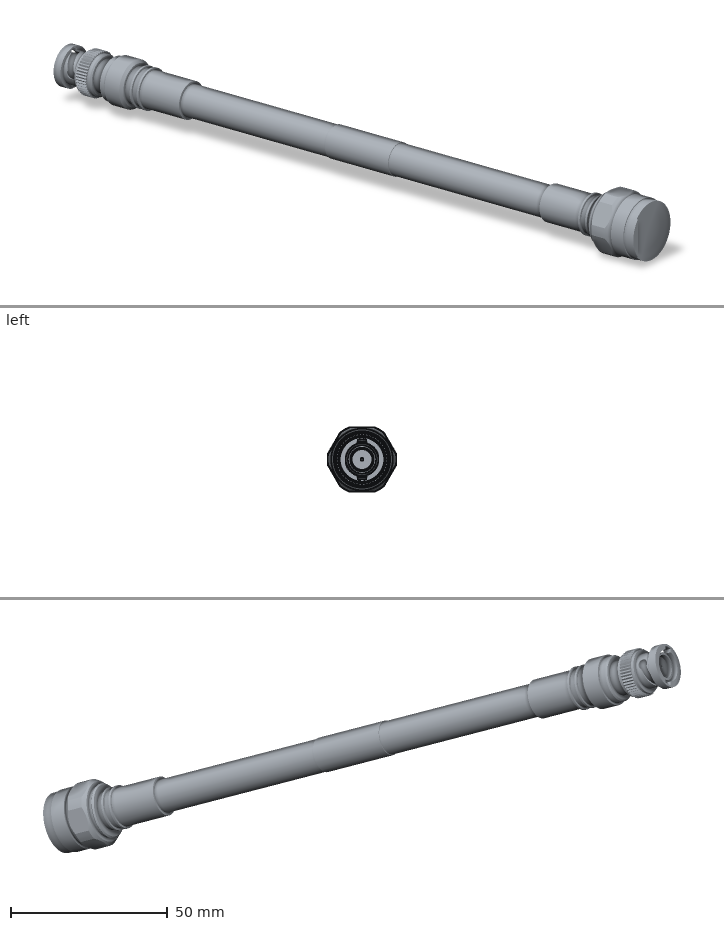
import cadquery as cq
import math

overall_length = 236.5

cable_radius = 5.5
label_radius = 5.7
shrink_radius = 6.5
left_shrink_start = 34.3
left_shrink_end = 50.1
label_start = 108.5
label_end = 134.0
right_shrink_start = 195.8
right_shrink_end = 211.5

ring_width = 0.7
ring_pitch = 2.8
ring_radius = 7.0

barrel_radius = 5.7
flange_radius = 7.0
front_flange_end = 2.8
grip_start = 8.5
grip_end = 15.1
knurl_start = 9.5
knurl_end = 13.5
knurl_radius = 7.8
knurl_depth = 0.5
tooth_count = 48
edge_chamfer = 0.5
collar_start = 18.7
collar_radius = 7.5
body_start = 21.5
body_radius = 8.3
body_end = 28.4
body_chamfer = 1.0

bore_radius = 5.2
bore_depth = 14.2
contact_outer_radius = 4.5
contact_inner_radius = 3.8
contact_setback = 1.2
insulator_radius = 3.3
insulator_setback = 2.4
pin_hole_radius = 0.5
pin_hole_depth = 4.7
entry_width = 2.8
entry_radius = 6.5
slot_width = 2.4
detent_diameter = 3.3
slot_start_x = 3.8
slot_end_x = 6.0
slot_turn = 90
slot_steps = 18

right_ring_start = 212.0
stop_start = 217.3
stop_radius = 9.0
stop_chamfer = 0.5
hex_start = 219.2
hex_cone_start = 225.5
hex_flats = 20.5
hex_corners = 22.0
hex_corner_radius = hex_corners / 2
hex_front_chamfer = 1.2
groove_radius = 9.5
nut_radius = hex_flats / 2
nut_start = 227.7
rim_start = 232.7
rim_radius = 10.0
rim_lip = 0.5
lip_inset = 7.5


def revolved(profile):
    """Turn an (x, radius) profile, closed along the axis, about the X axis."""
    axis_points = [(profile[0][0], 0), *profile, (profile[-1][0], 0)]
    return cq.Workplane("XZ").polyline(axis_points).close().revolve(360, (0, 0, 0), (1, 0, 0))


def cylinder(start, end, radius):
    return revolved([(start, radius), (end, radius)])


def tube(start, end, outer_radius, inner_radius):
    return cylinder(start, end, outer_radius).cut(cylinder(start, end, inner_radius))


def add_crimp_rings(plug, first_ring_start):
    for start in (first_ring_start, first_ring_start + ring_pitch):
        plug = plug.union(cylinder(start, start + ring_width, ring_radius))
    return plug


def radial_drill(x, diameter, angle):
    """Pin through both barrel walls, turned from +Z toward -Y by the angle in degrees."""
    drill = cq.Workplane("XY").center(x, 0).circle(diameter / 2).extrude(flange_radius, both=True)
    return drill.rotate((0, 0, 0), (1, 0, 0), angle)


def bayonet_slots():
    """Two opposite slots, each winding a quarter turn around the barrel to a round detent."""
    slots = radial_drill(slot_end_x, detent_diameter, slot_turn)
    for step in range(slot_steps):
        share = step / slot_steps
        x = slot_start_x + share * (slot_end_x - slot_start_x)
        slots = slots.union(radial_drill(x, slot_width, slot_turn * share))
    return slots


def knurl():
    """Straight V-shaped teeth around the grip."""
    points = []
    for index in range(2 * tooth_count):
        radius = knurl_radius - (index % 2) * knurl_depth
        angle = math.pi * index / tooth_count
        points.append((radius * math.cos(angle), radius * math.sin(angle)))
    return (
        cq.Workplane("YZ", origin=(knurl_start, 0, 0))
        .polyline(points).close()
        .extrude(knurl_end - knurl_start)
    )


def build_bayonet_plug():
    plug = revolved([
        (0, flange_radius),
        (front_flange_end, flange_radius),
        (front_flange_end, barrel_radius),
        (grip_start, barrel_radius),
        (grip_start, flange_radius),
        (grip_end - edge_chamfer, flange_radius),
        (grip_end, flange_radius - edge_chamfer),
        (grip_end, barrel_radius),
        (collar_start, barrel_radius),
        (collar_start, collar_radius - edge_chamfer),
        (collar_start + edge_chamfer, collar_radius),
        (body_start, collar_radius),
        (body_start, body_radius),
        (body_end - body_chamfer, body_radius),
        (body_end, body_radius - body_chamfer),
        (body_end, shrink_radius),
        (left_shrink_start, shrink_radius),
    ])
    plug = add_crimp_rings(plug, left_shrink_start - ring_width - ring_pitch)
    plug = plug.union(knurl())

    plug = plug.cut(cylinder(0, bore_depth, bore_radius))
    entry_slab = cq.Workplane("XY").box(2 * front_flange_end, entry_width, 2 * entry_radius)
    plug = plug.cut(entry_slab.intersect(cylinder(0, front_flange_end, entry_radius)))
    plug = plug.cut(bayonet_slots())
    plug = plug.union(tube(contact_setback, bore_depth, contact_outer_radius, contact_inner_radius))
    insulator = cylinder(insulator_setback, bore_depth, insulator_radius)
    pin_hole = cylinder(insulator_setback, insulator_setback + pin_hole_depth, pin_hole_radius)
    return plug.union(insulator.cut(pin_hole))


def hex_nut():
    """Hexagon with flats at +Z and -Z, its corners turned round and both ends coned."""
    corner_to_corner = hex_flats / math.cos(math.pi / 6)
    prism = (
        cq.Workplane("YZ", origin=(hex_start, 0, 0))
        .polygon(6, corner_to_corner)
        .extrude(nut_start - hex_start)
    )
    turned = revolved([
        (hex_start, hex_corner_radius - hex_front_chamfer),
        (hex_start + hex_front_chamfer, hex_corner_radius),
        (hex_cone_start, hex_corner_radius),
        (nut_start, groove_radius),
    ])
    return prism.intersect(turned)


def build_threaded_plug():
    plug = revolved([
        (right_shrink_end, shrink_radius),
        (stop_start, shrink_radius),
        (stop_start, stop_radius - stop_chamfer),
        (stop_start + stop_chamfer, stop_radius),
        (stop_start + 2 * stop_chamfer, stop_radius - stop_chamfer),
        (hex_start, stop_radius - stop_chamfer),
        (hex_start, groove_radius),
        (nut_start, groove_radius),
        (nut_start, nut_radius),
        (rim_start, nut_radius),
        (rim_start, rim_radius),
        (overall_length - rim_lip, rim_radius),
    ])
    plug = add_crimp_rings(plug, right_ring_start)
    plug = plug.union(hex_nut())

    lip = cylinder(overall_length - rim_lip, overall_length, rim_radius)
    lip_side = cq.Workplane("XY").box(overall_length, rim_radius, 2 * rim_radius)
    lip_side = lip_side.translate((overall_length, -lip_inset - rim_radius / 2, 0))
    return plug.union(lip.intersect(lip_side))


bayonet_plug = build_bayonet_plug()
threaded_plug = build_threaded_plug()
cable = cylinder(left_shrink_start, right_shrink_end, cable_radius)
label = tube(label_start, label_end, label_radius, cable_radius)
left_shrink = tube(left_shrink_start, left_shrink_end, shrink_radius, cable_radius)
right_shrink = tube(right_shrink_start, right_shrink_end, shrink_radius, cable_radius)

result = cq.Compound.makeCompound([
    bayonet_plug.val(),
    left_shrink.val(),
    cable.val(),
    label.val(),
    right_shrink.val(),
    threaded_plug.val(),
])